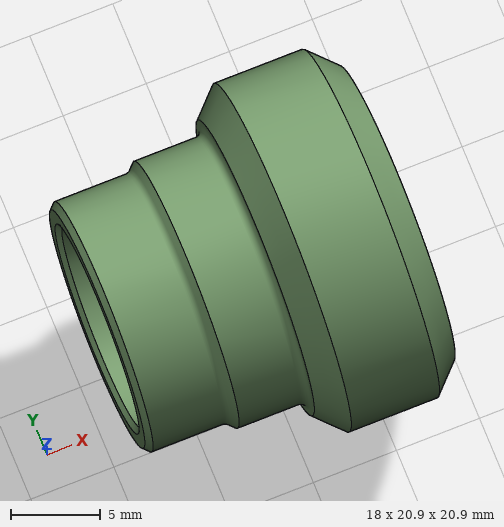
import cadquery as cq
import math

total_length = 18.0
shoulder_end = 5.33
collar_start = 9.5

bore_radius = 12.0 / 2
spigot_radius = 15.0 / 2
step_radius = 16.0 / 2
collar_radius = 20.9 / 2

spigot_chamfer = 0.35
bore_chamfer = 0.3
collar_chamfer = 1.59
fillet_radius = 0.5

shoulder_angle = math.radians(45)
arc_rise = fillet_radius * (1 - math.cos(shoulder_angle))
arc_length = fillet_radius * math.sin(shoulder_angle)
cone_start_radius = spigot_radius + arc_rise
cone_start = shoulder_end - (step_radius - cone_start_radius) / math.tan(shoulder_angle)
arc_start = cone_start - arc_length


def concave_arc_point(start_x, start_radius, angle):
    """Point on a fillet arc that leaves a cylinder tangentially, after turning by angle."""
    return (
        start_x + fillet_radius * math.sin(angle),
        start_radius + fillet_radius * (1 - math.cos(angle)),
    )


shoulder_arc_middle = concave_arc_point(arc_start, spigot_radius, shoulder_angle / 2)
collar_fillet_start = collar_start - fillet_radius
collar_arc_middle = concave_arc_point(collar_fillet_start, step_radius, math.radians(45))

profile = (
    cq.Workplane("XY")
    .moveTo(bore_chamfer, bore_radius)
    .lineTo(0, bore_radius + bore_chamfer)
    .lineTo(0, spigot_radius - spigot_chamfer)
    .lineTo(spigot_chamfer, spigot_radius)
    .lineTo(arc_start, spigot_radius)
    .threePointArc(shoulder_arc_middle, (cone_start, cone_start_radius))
    .lineTo(shoulder_end, step_radius)
    .lineTo(collar_fillet_start, step_radius)
    .threePointArc(collar_arc_middle, (collar_start, step_radius + fillet_radius))
    .lineTo(collar_start, collar_radius - collar_chamfer)
    .lineTo(collar_start + collar_chamfer, collar_radius)
    .lineTo(total_length - collar_chamfer, collar_radius)
    .lineTo(total_length, collar_radius - collar_chamfer)
    .lineTo(total_length, bore_radius)
    .close()
)

result = profile.revolve(360, (0, 0, 0), (1, 0, 0))